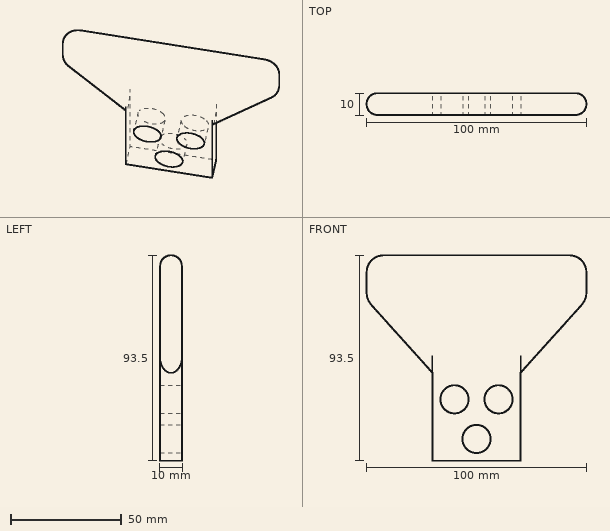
import cadquery as cq
import math

width = 100.0
height = 93.5
thickness = 10.0

corner_radius = 7.7
shoulder_height = 73.3
neck_height = 40.0
rim_radius = thickness / 2

stem_width = 40.0
stem_top = 55.0
hole_diameter = 12.7
hole_spacing = 20.0
upper_hole_height = 28.0
lower_hole_height = 10.0


def draw_rim_path():
    """Right half of the line where the flat face meets the rim, from top centre to inside the stem."""
    slope_angle = math.atan2(width / 2 - stem_width / 2, shoulder_height - neck_height)
    tangent_length = corner_radius * math.tan(slope_angle / 2)
    arc_x = width / 2 - corner_radius
    upper_arc_z = height - corner_radius
    lower_arc_z = shoulder_height + tangent_length
    path_radius = corner_radius - rim_radius

    def arc_point(center_z, angle):
        return (arc_x + path_radius * math.cos(angle), center_z + path_radius * math.sin(angle))

    slope_start = arc_point(lower_arc_z, -slope_angle)
    end_x = stem_width / 4
    end_z = slope_start[1] - (slope_start[0] - end_x) / math.tan(slope_angle)
    return (
        cq.Workplane("XZ")
        .moveTo(0, height - rim_radius)
        .lineTo(*arc_point(upper_arc_z, math.pi / 2))
        .threePointArc(arc_point(upper_arc_z, math.pi / 4), arc_point(upper_arc_z, 0))
        .lineTo(*arc_point(lower_arc_z, 0))
        .threePointArc(arc_point(lower_arc_z, -slope_angle / 2), slope_start)
        .lineTo(end_x, end_z)
    )


def make_head():
    """Flat plate with a half-round rim, mirrored about the centre plane."""
    plate = draw_rim_path().lineTo(0, neck_height).close().extrude(rim_radius, both=True)
    rim_profile = (
        cq.Workplane("YZ", origin=(0, 0, height - rim_radius))
        .moveTo(-rim_radius, 0)
        .threePointArc((0, rim_radius), (rim_radius, 0))
        .close()
    )
    half = plate.union(rim_profile.sweep(draw_rim_path()))
    return half.union(half.mirror("YZ"))


def make_stem():
    """Square-edged stem running up into the head."""
    return cq.Workplane("XY").box(stem_width, thickness, stem_top, centered=(True, True, False))


def make_holes():
    """Three through holes in a triangle."""
    centers = [
        (-hole_spacing / 2, upper_hole_height),
        (hole_spacing / 2, upper_hole_height),
        (0, lower_hole_height),
    ]
    back_face = cq.Workplane("XZ", origin=(0, thickness / 2, 0))
    return back_face.pushPoints(centers).circle(hole_diameter / 2).extrude(thickness)


result = make_head().union(make_stem()).cut(make_holes()).clean()